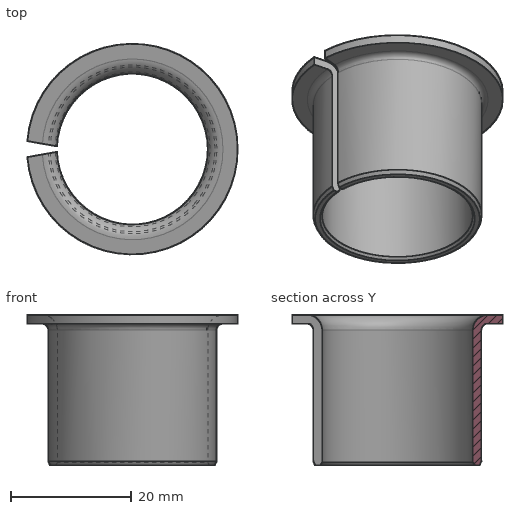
import cadquery as cq
import math

bore_diameter = 25.0
wall = 1.5
flange_diameter = 35.0
total_length = 25.0
outer_bend_radius = 1.0
outer_chamfer_height = 0.7
outer_chamfer_angle = 25.0
bore_chamfer_height = 0.5
bore_chamfer_angle = 35.0
slit_apex_distance = 10.0
slit_half_angle = 10.0
slit_overrun = 1.0

bore_radius = bore_diameter / 2
barrel_radius = bore_radius + wall
flange_radius = flange_diameter / 2
inner_bend_radius = outer_bend_radius + wall
bend_center_r = barrel_radius + outer_bend_radius
bend_center_z = total_length - inner_bend_radius
outer_chamfer_depth = outer_chamfer_height * math.tan(math.radians(outer_chamfer_angle))
bore_chamfer_depth = bore_chamfer_height * math.tan(math.radians(bore_chamfer_angle))


def bend_midpoint(radius):
    """Middle of a quarter bend from the barrel wall to the flange."""
    offset = radius * math.sqrt(0.5)
    return (bend_center_r - offset, bend_center_z + offset)


def make_bushing():
    """Bent sheet profile revolved about Z: barrel chamfered at its foot, and flange."""
    profile = (
        cq.Workplane("XZ")
        .moveTo(bore_radius + bore_chamfer_depth, 0)
        .lineTo(barrel_radius - outer_chamfer_depth, 0)
        .lineTo(barrel_radius, outer_chamfer_height)
        .lineTo(barrel_radius, bend_center_z)
        .threePointArc(bend_midpoint(outer_bend_radius), (bend_center_r, total_length - wall))
        .lineTo(flange_radius, total_length - wall)
        .lineTo(flange_radius, total_length)
        .lineTo(bend_center_r, total_length)
        .threePointArc(bend_midpoint(inner_bend_radius), (bore_radius, bend_center_z))
        .lineTo(bore_radius, bore_chamfer_height)
        .close()
    )
    axis_start = (0, 0, 0)
    axis_end = (0, 1, 0)
    bushing = profile.revolve(360, axis_start, axis_end)
    return bushing.rotate((0, 0, 0), (0, 0, 1), 180)


def make_slit():
    """Wedge on the -X side that widens outward and splits the full height."""
    outer_distance = flange_radius + slit_overrun
    wedge_length = outer_distance - slit_apex_distance
    outer_half_width = wedge_length * math.tan(math.radians(slit_half_angle))
    return (
        cq.Workplane("XY")
        .moveTo(-slit_apex_distance, 0)
        .lineTo(-outer_distance, outer_half_width)
        .lineTo(-outer_distance, -outer_half_width)
        .close()
        .extrude(total_length)
    )


result = make_bushing().cut(make_slit())